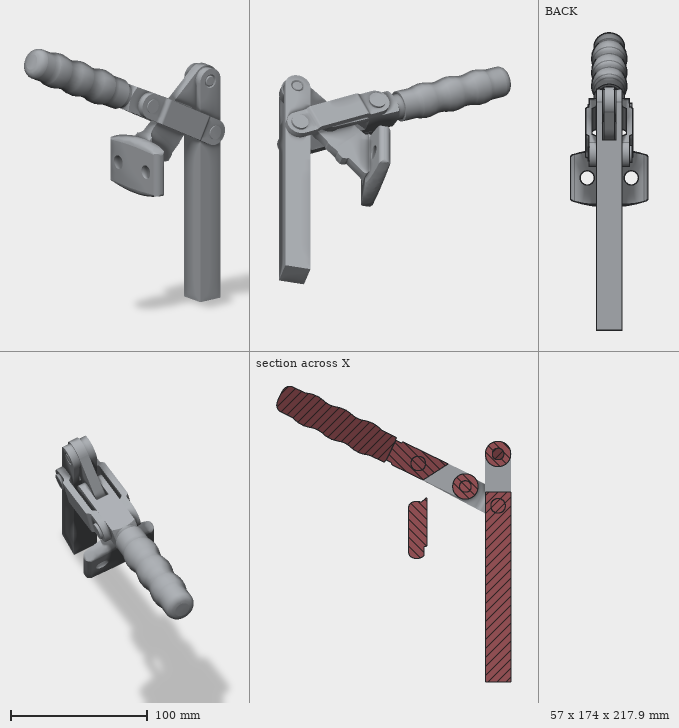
import cadquery as cq
import math


BAR = 19.0
BAR_HALF = BAR / 2
SLOT_WIDTH = 10.0
CLEAR_OF_ALL = 261.5

BASE_PIVOT = (0, 167.0)
POST_PIVOT = (0, 129.2)
LINK_PIVOT = (-58.4, 160.1)
LEVER_ANGLE = 26
LEVER_PIVOT_DISTANCE = 38.3

LEVER_DIRECTION = (-math.cos(math.radians(LEVER_ANGLE)), math.sin(math.radians(LEVER_ANGLE)))
LEVER_PIVOT = (
    LINK_PIVOT[0] - LEVER_PIVOT_DISTANCE * LEVER_DIRECTION[0],
    LINK_PIVOT[1] - LEVER_PIVOT_DISTANCE * LEVER_DIRECTION[1],
)

LINK_PIN_DIAMETER = 10.2
HEAD_DIAMETER = 12.5
HEAD_HEIGHT = 2.0
PIN_TAIL = 0.9
FLUSH_PIN_DIAMETER = 8.0
FLUSH_PIN_CHAMFER = 0.7
COUNTERSINK = 1.0

POST_SLOT_BOTTOM = 139.5

LEVER_SLOT_TOP_END = 18.3
LEVER_SLOT_BOTTOM_END = 29.8
LEVER_SQUARE_END = LEVER_PIVOT_DISTANCE + 17.9
GRIP_START = LEVER_PIVOT_DISTANCE + 22.5
SHOULDER_LENGTH = 2.5

GRIP_RADIUS = 11.3
CREST_RADIUS = 13
GRIP_FLAT_RADIUS = 5.7
FIRST_COLLAR_LENGTH = 10.7
LAST_COLLAR_LENGTH = 8.5
BLEND_LENGTH = 4.4
RIDGE_COUNT = 3
CREST_HALF = 5.77
VALLEY_HALF = 5.55

LINK_END_THICKNESS = 5.2
LINK_MIDDLE_THICKNESS = 4.8
LINK_OUTER_JOG = 2.6
LINK_JOG_START = 10.0
LINK_BEND_RADIUS = 2.2
LINK_INNER_JOG = LINK_OUTER_JOG + LINK_END_THICKNESS - LINK_MIDDLE_THICKNESS

EAR_RADIUS = 11
TONGUE_THICKNESS = 7.5
PAD_THICKNESS = 7.8
TONGUE_UPPER_BEND = (-45.3, 142.3)
TONGUE_LOWER_BEND = (-20.3, 128.3)
TONGUE_LOWER_EDGE = [
    TONGUE_LOWER_BEND,
    (-24, 124.5),
    (-24.6, 122.9),
    (-31.5, 116.8),
    (-31.8, 115.2),
    (-34.9, 111.5),
    (-38.5, 111.5),
    (-39.9, 112.5),
    (-52.7, 99.3),
]
TONGUE_TOP_STEPS = [(-56.2, 132.0), (-52.0, 135.5)]
PAD_CORNER = (-49.2, 138.8)
FLARE_RADIUS = 4.5

PLATE_WIDTH = 57.0
PLATE_FRONT = -65.8
PLATE_BACK = -53.2
PLATE_BACK_AT_END = -56.9
PLATE_TIP = -61
PLATE_FLAT_HALF_WIDTH = 25.3
PLATE_FRONT_BEVEL = 0.7
PLATE_CORNER_RADIUS = 2.6
PLATE_MIDDLE_Z = 111.5
PLATE_HALF_HEIGHT = 21.4
PLATE_END_HALF_HEIGHT = 16.3
PLATE_EDGE_DROP = 5.0
PLATE_END_EDGE_DROP = 1.3
PLATE_HOLE_DIAMETER = 10.2
PLATE_HOLE_SPACING = 32.2
PLATE_MIDDLE_Y = (PLATE_FRONT + PLATE_BACK) / 2


def along_plane(start, direction):
    """Side plane with local x along a (Y, Z) direction and local y across it, upwards."""
    return cq.Plane(origin=(0, *start), xDir=(0, *direction), normal=(-1, 0, 0))


def cross_cylinder(pivot, diameter, half_length):
    """Cylinder along X, centred on the mid plane."""
    return cq.Workplane("YZ").center(*pivot).circle(diameter / 2).extrude(half_length, both=True)


def drill(body, pivot, diameter):
    return body.cut(cross_cylinder(pivot, diameter, CLEAR_OF_ALL))


def make_post():
    top = BASE_PIVOT[1]
    post = (
        cq.Workplane("YZ")
        .moveTo(-BAR_HALF, 0)
        .lineTo(BAR_HALF, 0)
        .lineTo(BAR_HALF, top)
        .threePointArc((0, top + BAR_HALF), (-BAR_HALF, top))
        .close()
        .extrude(BAR_HALF, both=True)
    )
    slot = (
        cq.Workplane("XY")
        .workplane(offset=POST_SLOT_BOTTOM)
        .rect(SLOT_WIDTH, CLEAR_OF_ALL)
        .extrude(CLEAR_OF_ALL)
    )
    post = drill(post.cut(slot), POST_PIVOT, LINK_PIN_DIAMETER)
    post = drill(post, BASE_PIVOT, FLUSH_PIN_DIAMETER)
    for side in (-1, 1):
        sink = cq.Solid.makeCone(
            FLUSH_PIN_DIAMETER / 2 + COUNTERSINK,
            FLUSH_PIN_DIAMETER / 2,
            COUNTERSINK,
            pnt=cq.Vector(side * BAR_HALF, *BASE_PIVOT),
            dir=cq.Vector(-side, 0, 0),
        )
        pin_space = cross_cylinder(BASE_PIVOT, FLUSH_PIN_DIAMETER, BAR_HALF)
        post = post.cut(cq.Workplane(sink).cut(pin_space))
    return post


def turned_about_lever(profile_points):
    """Revolve (distance along the lever, radius) points about the lever axis."""
    plane = along_plane(LEVER_PIVOT, LEVER_DIRECTION)
    return cq.Workplane(plane).polyline(profile_points).close().revolve(360, (0, 0, 0), (1, 0, 0))


def make_lever():
    plane = along_plane(LEVER_PIVOT, LEVER_DIRECTION)
    square_bar = (
        cq.Workplane(plane)
        .moveTo(0, BAR_HALF)
        .lineTo(LEVER_SQUARE_END, BAR_HALF)
        .lineTo(LEVER_SQUARE_END, -BAR_HALF)
        .lineTo(0, -BAR_HALF)
        .threePointArc((-BAR_HALF, 0), (0, BAR_HALF))
        .close()
        .extrude(BAR_HALF, both=True)
    )
    corner_radius = BAR_HALF * math.sqrt(2)
    shoulder = turned_about_lever([
        (-BAR, 0),
        (-BAR, corner_radius),
        (LEVER_SQUARE_END - SHOULDER_LENGTH, corner_radius),
        (LEVER_SQUARE_END, BAR_HALF),
        (LEVER_SQUARE_END, 0),
    ])
    neck = turned_about_lever([
        (LEVER_SQUARE_END, 0),
        (LEVER_SQUARE_END, BAR_HALF),
        (GRIP_START, BAR_HALF),
        (GRIP_START, 0),
    ])
    slot = (
        cq.Workplane(plane)
        .polyline([
            (-BAR, BAR_HALF),
            (LEVER_SLOT_TOP_END, BAR_HALF),
            (LEVER_SLOT_BOTTOM_END, -BAR_HALF),
            (-BAR, -BAR_HALF),
        ])
        .close()
        .extrude(SLOT_WIDTH / 2, both=True)
    )
    lever = square_bar.intersect(shoulder).union(neck).cut(slot)
    lever = drill(lever, LEVER_PIVOT, FLUSH_PIN_DIAMETER)
    return drill(lever, LINK_PIVOT, LINK_PIN_DIAMETER)


def make_grip():
    """Turned handle; the profile runs from the neck to the rounded tip."""
    blend_radius = (GRIP_RADIUS + CREST_RADIUS) / 2
    tip_round = GRIP_RADIUS - GRIP_FLAT_RADIUS
    ridges_start = GRIP_START + FIRST_COLLAR_LENGTH + BLEND_LENGTH
    ridge_pitch = 2 * (CREST_HALF + VALLEY_HALF)
    profile = (
        cq.Workplane(along_plane(LEVER_PIVOT, LEVER_DIRECTION))
        .moveTo(GRIP_START, 0)
        .lineTo(GRIP_START, GRIP_RADIUS)
        .lineTo(GRIP_START + FIRST_COLLAR_LENGTH, GRIP_RADIUS)
        .tangentArcPoint((ridges_start, blend_radius), relative=False)
    )
    for ridge in range(RIDGE_COUNT):
        crest_start = ridges_start + ridge * ridge_pitch
        crest_end = crest_start + 2 * CREST_HALF
        if ridge > 0:
            profile = profile.threePointArc(
                (crest_start - VALLEY_HALF, GRIP_RADIUS), (crest_start, blend_radius)
            )
        profile = profile.threePointArc((crest_start + CREST_HALF, CREST_RADIUS), (crest_end, blend_radius))
    last_collar_start = crest_end + BLEND_LENGTH
    tip_round_start = last_collar_start + LAST_COLLAR_LENGTH
    blend_middle = (crest_end + BLEND_LENGTH / 2, GRIP_RADIUS + (blend_radius - GRIP_RADIUS) / 4)
    return (
        profile
        .threePointArc(blend_middle, (last_collar_start, GRIP_RADIUS))
        .lineTo(tip_round_start, GRIP_RADIUS)
        .tangentArcPoint((tip_round_start + tip_round, GRIP_FLAT_RADIUS), relative=False)
        .lineTo(tip_round_start + tip_round, 0)
        .close()
        .revolve(360, (0, 0, 0), (1, 0, 0))
    )


def jog_line(length, side, end_offset, jog):
    """Points (along the link, X) of a face that steps out by jog at 45 degrees between the pivots."""
    stations = [
        (-BAR, 0),
        (LINK_JOG_START, 0),
        (LINK_JOG_START + jog, jog),
        (length - LINK_JOG_START - jog, jog),
        (length - LINK_JOG_START, 0),
        (length + BAR, 0),
    ]
    return [(along, side * (end_offset + step)) for along, step in stations]


def make_link(side):
    """Joggled flat link with round ends; side is -1 or +1 along X."""
    run_y = LINK_PIVOT[0] - POST_PIVOT[0]
    run_z = LINK_PIVOT[1] - POST_PIVOT[1]
    length = math.hypot(run_y, run_z)
    direction = (run_y / length, run_z / length)
    across = (0, direction[1], -direction[0])
    edge_plane = cq.Plane(origin=(0, *POST_PIVOT), xDir=(0, *direction), normal=across)

    inner_face = jog_line(length, side, BAR_HALF, LINK_INNER_JOG)
    outer_face = jog_line(length, side, BAR_HALF + LINK_END_THICKNESS, LINK_OUTER_JOG)
    strip = cq.Workplane(edge_plane).polyline(inner_face + outer_face[::-1]).close().extrude(BAR, both=True)
    outline = (
        cq.Workplane(along_plane(POST_PIVOT, direction))
        .center(length / 2, 0)
        .slot2D(length + BAR, BAR)
        .extrude(CLEAR_OF_ALL, both=True)
    )
    bend_edges = [
        edge for edge in strip.edges(cq.selectors.ParallelDirSelector(cq.Vector(*across))).vals()
        if 0 < edge.Center().sub(edge_plane.origin).dot(edge_plane.xDir) < length
    ]
    link = strip.newObject(bend_edges).fillet(LINK_BEND_RADIUS).intersect(outline)
    return drill(drill(link, POST_PIVOT, LINK_PIN_DIAMETER), LINK_PIVOT, LINK_PIN_DIAMETER)


def make_link_pin(pivot):
    """Headed pin through both links; the head is on the -X side."""
    link_face = BAR_HALF + LINK_END_THICKNESS
    return (
        cq.Workplane("YZ")
        .workplane(offset=-link_face)
        .center(*pivot)
        .circle(LINK_PIN_DIAMETER / 2)
        .extrude(2 * link_face + PIN_TAIL)
        .faces("<X")
        .workplane()
        .circle(HEAD_DIAMETER / 2)
        .extrude(HEAD_HEIGHT)
    )


def make_flush_pin(pivot):
    """Plain pin ending level with the sides of the bar it sits in."""
    return cross_cylinder(pivot, FLUSH_PIN_DIAMETER, BAR_HALF).edges("%CIRCLE").chamfer(FLUSH_PIN_CHAMFER)


def tangent_point(center, radius, point, turn):
    """Point where the line from point touches the circle; turn is +1 or -1 for its side."""
    run_y = point[0] - center[0]
    run_z = point[1] - center[1]
    angle = math.atan2(run_z, run_y) + turn * math.acos(radius / math.hypot(run_y, run_z))
    return (center[0] + radius * math.cos(angle), center[1] + radius * math.sin(angle))


def tongue_side():
    """Side outline of the tongue from the ear to inside the plate, as a wide block."""
    ear_y, ear_z = BASE_PIVOT
    ear_diagonal = EAR_RADIUS * math.sqrt(0.5)
    upper_tangent = tangent_point(BASE_PIVOT, EAR_RADIUS, TONGUE_UPPER_BEND, -1)
    lower_tangent = tangent_point(BASE_PIVOT, EAR_RADIUS, TONGUE_LOWER_BEND, 1)
    return (
        cq.Workplane("YZ")
        .moveTo(*upper_tangent)
        .threePointArc((ear_y + ear_diagonal, ear_z + ear_diagonal), lower_tangent)
        .polyline(TONGUE_LOWER_EDGE, includeCurrent=True)
        .lineTo(PLATE_MIDDLE_Y, TONGUE_LOWER_EDGE[-1][1])
        .lineTo(PLATE_MIDDLE_Y, PLATE_MIDDLE_Z)
        .polyline(TONGUE_TOP_STEPS, includeCurrent=True)
        .lineTo(*PAD_CORNER)
        .lineTo(*TONGUE_UPPER_BEND)
        .close()
        .extrude(PLATE_WIDTH / 2, both=True)
    )


def flare_plan():
    """Plan of the thicker tongue end, curving out on both sides into the plate."""
    pad = PAD_THICKNESS / 2
    foot = pad + FLARE_RADIUS
    flare_start = PAD_CORNER[0]
    flare_end = flare_start - FLARE_RADIUS
    bow = FLARE_RADIUS * math.sqrt(0.5)
    arc_x = foot - bow
    arc_y = flare_start - bow
    return (
        cq.Workplane("XY")
        .moveTo(-pad, 0)
        .lineTo(-pad, flare_start)
        .threePointArc((-arc_x, arc_y), (-foot, flare_end))
        .lineTo(-foot, PLATE_MIDDLE_Y)
        .lineTo(foot, PLATE_MIDDLE_Y)
        .lineTo(foot, flare_end)
        .threePointArc((arc_x, arc_y), (pad, flare_start))
        .lineTo(pad, 0)
        .close()
        .extrude(CLEAR_OF_ALL)
    )


def make_tongue():
    side = tongue_side()
    thin_slab = cq.Workplane("XY").box(TONGUE_THICKNESS, 2 * CLEAR_OF_ALL, 2 * CLEAR_OF_ALL)
    corner_y, corner_z = PAD_CORNER
    beyond_step = (
        cq.Workplane("YZ")
        .polyline([
            (corner_y, CLEAR_OF_ALL),
            PAD_CORNER,
            (corner_y + corner_z, 0),
            (-CLEAR_OF_ALL, 0),
            (-CLEAR_OF_ALL, CLEAR_OF_ALL),
        ])
        .close()
        .extrude(PLATE_WIDTH, both=True)
    )
    thick_end = side.intersect(flare_plan()).intersect(beyond_step)
    return side.intersect(thin_slab).union(thick_end)


def plate_section(y, edge_share):
    """Barrel outline of the plate at one depth, lowered by a share of the edge drop."""
    half_width = PLATE_WIDTH / 2
    half_height = PLATE_HALF_HEIGHT - edge_share * PLATE_EDGE_DROP
    end_half_height = PLATE_END_HALF_HEIGHT - edge_share * PLATE_END_EDGE_DROP
    return (
        cq.Workplane("XZ", origin=(0, y, PLATE_MIDDLE_Z))
        .moveTo(-half_width, -end_half_height)
        .threePointArc((0, -half_height), (half_width, -end_half_height))
        .lineTo(half_width, end_half_height)
        .threePointArc((0, half_height), (-half_width, end_half_height))
        .close()
        .wires()
        .val()
    )


def plate_plan():
    """Plan of the plate with bevelled front corners, rounded ends and a peaked back."""
    half_width = PLATE_WIDTH / 2
    bevel_x = PLATE_FLAT_HALF_WIDTH + PLATE_FRONT_BEVEL
    bevel_y = PLATE_FRONT + PLATE_FRONT_BEVEL
    front_bow = (27.9, -63.6)
    back_bow = (27.5, -58.0)
    half_plan = (
        cq.Workplane("XY")
        .moveTo(0, PLATE_FRONT)
        .lineTo(PLATE_FLAT_HALF_WIDTH, PLATE_FRONT)
        .lineTo(bevel_x, bevel_y)
        .threePointArc(front_bow, (half_width, PLATE_TIP))
        .threePointArc(back_bow, (PLATE_FLAT_HALF_WIDTH, PLATE_BACK_AT_END))
        .lineTo(0, PLATE_BACK)
    )
    return half_plan.mirrorY().extrude(CLEAR_OF_ALL)


def make_plate():
    """Plate with rounded long edges; the sections follow a circle from the front to the back."""
    half_depth = (PLATE_BACK - PLATE_FRONT) / 2
    sections = []
    for degrees in range(-90, 91, 30):
        angle = math.radians(degrees)
        y = PLATE_MIDDLE_Y + half_depth * math.sin(angle)
        sections.append(plate_section(y, 1 - math.cos(angle)))
    rounded = cq.Workplane(cq.Solid.makeLoft(sections))
    tallest = cq.Solid.extrudeLinear(plate_section(0, 0), [], cq.Vector(0, -CLEAR_OF_ALL, 0))
    round_cornered = cq.Workplane(tallest).edges("|Y").fillet(PLATE_CORNER_RADIUS)
    return rounded.intersect(plate_plan()).intersect(round_cornered)


def make_base():
    base = make_tongue().union(make_plate())
    for pivot in (BASE_PIVOT, LEVER_PIVOT):
        boss = cross_cylinder(pivot, BAR, SLOT_WIDTH / 2)
        base = drill(base.union(boss), pivot, FLUSH_PIN_DIAMETER)
    mounting_holes = (
        cq.Workplane("XZ", origin=(0, 0, PLATE_MIDDLE_Z))
        .rarray(PLATE_HOLE_SPACING, 2.2, 2, 1)
        .circle(PLATE_HOLE_DIAMETER / 2)
        .extrude(CLEAR_OF_ALL)
    )
    return base.cut(mounting_holes)


post = make_post()
lever = make_lever()
grip = make_grip()
base = make_base()
links = [make_link(side) for side in (-1, 1)]
link_pins = [make_link_pin(pivot) for pivot in (POST_PIVOT, LINK_PIVOT)]
flush_pins = [make_flush_pin(pivot) for pivot in (BASE_PIVOT, LEVER_PIVOT)]

bodies = [post, lever, grip, base, *links, *link_pins, *flush_pins]
result = cq.Compound.makeCompound([solid for body in bodies for solid in body.solids().vals()])